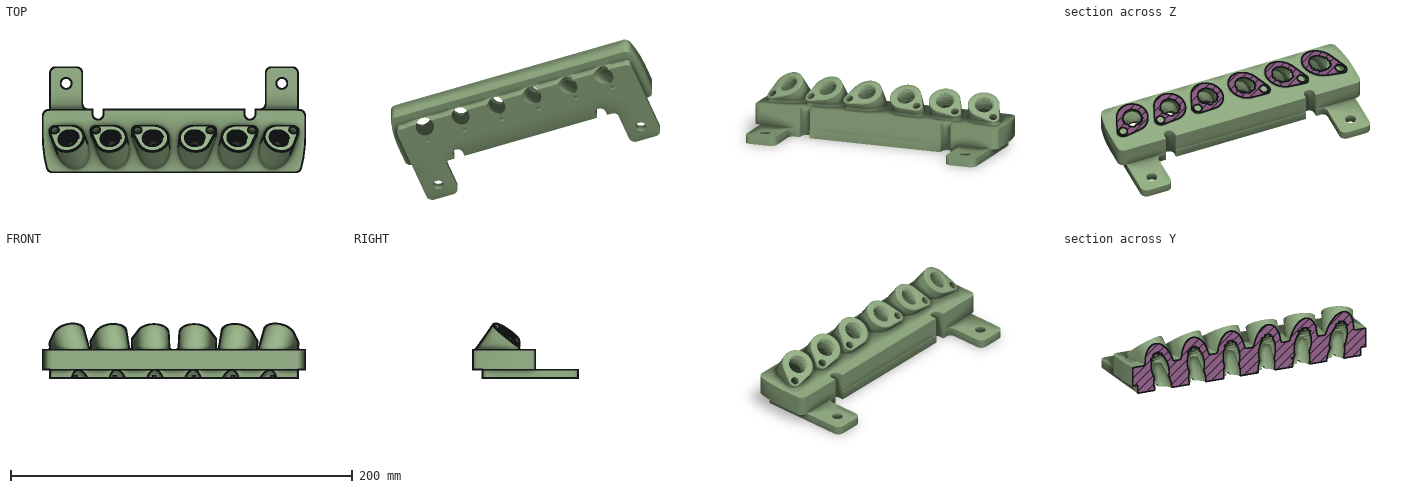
import cadquery as cq
import math

BASE_THICK = 5.0
BASE_HALF_WIDTH = 72.75
BASE_FRONT_Y = 5.5
BASE_REAR_Y = 37.1
BASE_CORNER_RADIUS = 2.5
FRONT_STEP = 0.45
STEP_OUTER_X = 68.0
STEP_INNER_X = 64.2

TAB_WIDTH = 19.1
TAB_REAR_Y = 61.8
TAB_CORNER_RADIUS = 3.75
TAB_ROOT_RADIUS = 3.0
TAB_HOLE_DIAMETER = 6.3
TAB_HOLE_X = 63.2
TAB_HOLE_Y = 52.2

PLATE_THICK = 11.75
PLATE_TOP_Z = BASE_THICK + PLATE_THICK
PLATE_HALF_WIDTH = 77.0
PLATE_DEPTH = 36.75
PLATE_CORNER_RADIUS = 3.75
SIDE_ARC_START_Y = 21.5
SIDE_ARC_RADIUS = 75.0

SLOT_WIDTH = 6.3
SLOT_X = 44.5
SLOT_END_Y = 31.0

SOCKETS_PER_SIDE = 3
SOCKET_PITCH = 24.75
SOCKET_FACE_Y = 20.0
SOCKET_FACE_Z = 26.76
BACK_TILT = 34.0
SIDE_TILT_STEP = 6.2
BORE_MAJOR = 12.2
BORE_MINOR = 10.58
SOCKET_WALL = 3.25
SOCKET_RADIUS = BORE_MAJOR / 2 + SOCKET_WALL
FACE_CHAMFER = 0.5
FOOT_FILLET = 1.1

PIN_DIAMETER = 4.7
PIN_WALL = 1.25
PIN_RADIUS = PIN_DIAMETER / 2 + PIN_WALL
PIN_OFFSET_X = 9.1
PIN_OFFSET_Y = SOCKET_RADIUS - PIN_RADIUS
PIN_DEPTH = 8.0

THREAD_PITCH = 1.5
THREAD_CREST = 0.1
THREAD_OVERLAP = 0.1
THREAD_LENGTH = 12.0
BORE_DEPTH = 22.0

OUTLET_DIAMETER = BORE_MINOR
OUTLET_BELOW_BASE = 4.6
OUTLET_PIVOT_Z = 22.3
OUTLET_TOP_Z = 14.5
GROOVE_PITCH = 23.1
GROOVE_WIDTH = 2.0
GROOVE_HEIGHT = 1.5
GROOVE_END_Y = 20.0

OVERSIZE = 200.0
EDGE_BAND = 0.1


def base_plate():
    tab_inner_x = BASE_HALF_WIDTH - TAB_WIDTH
    stepped_y = BASE_FRONT_Y + FRONT_STEP
    half = [
        (STEP_INNER_X, BASE_FRONT_Y),
        (STEP_OUTER_X, stepped_y),
        (BASE_HALF_WIDTH, stepped_y),
        (BASE_HALF_WIDTH, TAB_REAR_Y),
        (tab_inner_x, TAB_REAR_Y),
        (tab_inner_x, BASE_REAR_Y),
    ]
    outline = half + [(-x, y) for x, y in reversed(half)]
    body = cq.Workplane("XY").polyline(outline).close().extrude(BASE_THICK)
    for side in (-1, 1):
        outer_x = side * BASE_HALF_WIDTH
        inner_x = side * tab_inner_x
        body = round_upright_edge(body, outer_x, stepped_y, BASE_CORNER_RADIUS)
        body = round_upright_edge(body, outer_x, TAB_REAR_Y, TAB_CORNER_RADIUS)
        body = round_upright_edge(body, inner_x, TAB_REAR_Y, TAB_CORNER_RADIUS)
        body = round_upright_edge(body, inner_x, BASE_REAR_Y, TAB_ROOT_RADIUS)
    holes = (
        cq.Workplane("XY")
        .pushPoints([(-TAB_HOLE_X, TAB_HOLE_Y), (TAB_HOLE_X, TAB_HOLE_Y)])
        .circle(TAB_HOLE_DIAMETER / 2)
        .extrude(BASE_THICK)
    )
    return body.cut(holes)


def round_upright_edge(body, x, y, radius):
    """Fillet the vertical edge nearest to the point (x, y)."""
    nearest = cq.selectors.NearestToPointSelector((x, y, body.val().Center().z))
    return body.edges("|Z").edges(nearest).fillet(radius)


def side_arc_x(y):
    """Half width of the upper plate at y, on the curved part of its side."""
    rise = SIDE_ARC_START_Y - y
    return PLATE_HALF_WIDTH - SIDE_ARC_RADIUS + math.sqrt(SIDE_ARC_RADIUS**2 - rise**2)


def upper_plate():
    front_x = side_arc_x(0)
    middle_y = SIDE_ARC_START_Y / 2
    middle_x = side_arc_x(middle_y)
    return (
        cq.Workplane("XY", origin=(0, 0, BASE_THICK))
        .moveTo(-front_x, 0)
        .lineTo(front_x, 0)
        .threePointArc((middle_x, middle_y), (PLATE_HALF_WIDTH, SIDE_ARC_START_Y))
        .lineTo(PLATE_HALF_WIDTH, PLATE_DEPTH)
        .lineTo(-PLATE_HALF_WIDTH, PLATE_DEPTH)
        .lineTo(-PLATE_HALF_WIDTH, SIDE_ARC_START_Y)
        .threePointArc((-middle_x, middle_y), (-front_x, 0))
        .close()
        .extrude(PLATE_THICK)
        .edges("|Z and (<Y or >Y)")
        .fillet(PLATE_CORNER_RADIUS)
    )


def cable_slots():
    slot_radius = SLOT_WIDTH / 2
    centre_y = SLOT_END_Y + slot_radius
    length = BASE_REAR_Y - centre_y
    slots = cq.Workplane("XY")
    for x in (-SLOT_X, SLOT_X):
        slots = slots.union(
            cq.Workplane("XY", origin=(x, centre_y, 0)).circle(slot_radius).extrude(PLATE_TOP_Z)
        ).union(
            cq.Workplane("XY", origin=(x, centre_y + length / 2, 0))
            .rect(SLOT_WIDTH, length)
            .extrude(PLATE_TOP_Z)
        )
    return slots


def socket_axis(side_tilt):
    """Unit vector up a socket; side_tilt in degrees leans it towards +X."""
    back = math.radians(BACK_TILT)
    lean = math.radians(side_tilt)
    return cq.Vector(
        math.cos(back) * math.sin(lean),
        math.sin(back),
        math.cos(back) * math.cos(lean),
    )


def face_plane(face_x, side_tilt):
    lean = math.radians(side_tilt)
    return cq.Plane(
        origin=(face_x, SOCKET_FACE_Y, SOCKET_FACE_Z),
        xDir=(math.cos(lean), 0, -math.sin(lean)),
        normal=socket_axis(side_tilt).toTuple(),
    )


def socket_body(plane, side):
    """Tear-drop column: hull of the bore wall and the pin wall, with a filleted foot."""
    mirror_angle = 2 * math.atan2(PIN_OFFSET_Y, PIN_OFFSET_X)
    tangent = (math.sin(mirror_angle), -math.cos(mirror_angle))
    across = (PIN_OFFSET_X, PIN_OFFSET_Y)
    spread = math.hypot(*across)
    outward = (across[0] / spread, across[1] / spread)

    def on_socket(direction):
        return (side * SOCKET_RADIUS * direction[0], SOCKET_RADIUS * direction[1])

    def on_pin(direction):
        x = PIN_OFFSET_X + PIN_RADIUS * direction[0]
        y = PIN_OFFSET_Y + PIN_RADIUS * direction[1]
        return (side * x, y)

    rear = (0, 1)
    inward = (-outward[0], -outward[1])
    column = (
        cq.Workplane(plane)
        .moveTo(*on_socket(rear))
        .lineTo(*on_pin(rear))
        .threePointArc(on_pin(outward), on_pin(tangent))
        .lineTo(*on_socket(tangent))
        .threePointArc(on_socket(inward), on_socket(rear))
        .close()
        .extrude(-SOCKET_FACE_Z)
        .faces(cq.selectors.DirectionMinMaxSelector(plane.zDir))
        .chamfer(FACE_CHAMFER)
    )
    ground = cq.Workplane("XY", origin=(0, 0, PLATE_TOP_Z))
    above = ground.rect(OVERSIZE, OVERSIZE).extrude(OVERSIZE)
    slab = ground.rect(OVERSIZE, OVERSIZE).extrude(-PLATE_THICK)
    footed = slab.union(column.intersect(above))
    reach = (PLATE_HALF_WIDTH + OVERSIZE / 2) / 2
    foot_edges = cq.selectors.BoxSelector(
        (-reach, -reach, PLATE_TOP_Z - EDGE_BAND),
        (reach, reach, PLATE_TOP_Z + EDGE_BAND),
        boundingbox=True,
    )
    return footed.edges(foot_edges).fillet(FOOT_FILLET).intersect(above)


def threaded_bore():
    """Cutter for one bore: a core along -Z with a helical V-groove cut from its upper part."""
    minor = BORE_MINOR / 2
    root_radius = minor - THREAD_OVERLAP
    half_width = (THREAD_PITCH - THREAD_CREST) / 2
    helix = cq.Wire.makeHelix(THREAD_PITCH, THREAD_LENGTH, minor)
    groove = (
        cq.Workplane("XZ")
        .polyline([(root_radius, -half_width), (BORE_MAJOR / 2, 0), (root_radius, half_width)])
        .close()
        .sweep(cq.Workplane(obj=helix), isFrenet=True)
        .translate((0, 0, THREAD_PITCH / 2 - THREAD_LENGTH))
    )
    core_top = 2 * THREAD_PITCH
    core = (
        cq.Workplane("XY", origin=(0, 0, core_top))
        .circle(minor)
        .extrude(-core_top - BORE_DEPTH)
    )
    return core.union(groove, clean=False)


def pin_hole(plane, side):
    return (
        cq.Workplane(plane)
        .center(side * PIN_OFFSET_X, PIN_OFFSET_Y)
        .circle(PIN_DIAMETER / 2)
        .extrude(-PIN_DEPTH)
    )


def wire_groove(x):
    """Small square groove along the underside, running rearwards from an outlet."""
    length = GROOVE_END_Y - BASE_FRONT_Y
    return (
        cq.Workplane("XY", origin=(x, BASE_FRONT_Y + length / 2, 0))
        .rect(GROOVE_WIDTH, length)
        .extrude(GROOVE_HEIGHT)
    )


def cable_outlet(face_x, side_tilt):
    axis = socket_axis(side_tilt)
    rise = OUTLET_PIVOT_Z + OUTLET_BELOW_BASE
    start_x = face_x - axis.x / axis.z * rise
    start = cq.Vector(start_x, BASE_FRONT_Y, -OUTLET_BELOW_BASE)
    outlet = cq.Solid.makeCylinder(
        OUTLET_DIAMETER / 2, 2 * OVERSIZE, start - axis * OVERSIZE, axis
    )
    below = cq.Workplane("XY").rect(OVERSIZE, OVERSIZE).extrude(OUTLET_TOP_Z)
    behind = cq.Workplane("XY").box(
        OVERSIZE, OVERSIZE, OVERSIZE, centered=(True, False, True)
    ).translate((0, BASE_FRONT_Y, 0))
    return cq.Workplane(obj=outlet).intersect(below).intersect(behind)


result = base_plate().union(upper_plate()).cut(cable_slots())
bore = threaded_bore().val()
cutters = []
for side in (-1, 1):
    for row in range(SOCKETS_PER_SIDE):
        step = side * (row + 0.5)
        face_x = step * SOCKET_PITCH
        side_tilt = step * SIDE_TILT_STEP
        plane = face_plane(face_x, side_tilt)
        result = result.union(socket_body(plane, side), clean=False)
        cutters.append(cq.Workplane(obj=bore.moved(cq.Location(plane))))
        cutters.append(pin_hole(plane, side))
        cutters.append(cable_outlet(face_x, side_tilt))
        cutters.append(wire_groove(step * GROOVE_PITCH))
for cutter in cutters:
    result = result.cut(cutter, clean=False)